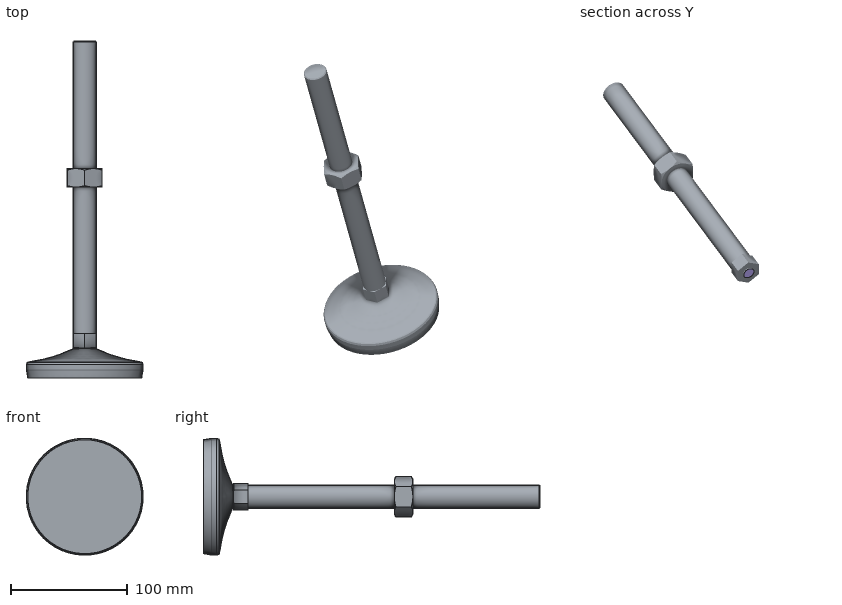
import cadquery as cq
import math

total_length = 288.5

pad_radius = 100.0 / 2
sole_radius = 48.8
taper_radius = 50.0
taper_height = 7.0
widest_height = 11.5
rim_radius = 49.3
rim_height = 13.8
rim_edge = 1.0
rim_bevel_height = 0.5
flare_mid_radius = 27.0
flare_mid_height = 18.5
neck_radius = 9.2
neck_height = 25.5

rod_diameter = 20.0
rod_chamfer = 1.0
hex_flats = rod_diameter
stud_diameter = 10.0
undercut = 0.5
hex_start = neck_height + undercut
hex_end = 38.5

nut_flats = 30.0
nut_start = 163.5
nut_thickness = 16.0
nut_face_diameter = 30.0
nut_bevel_angle = 30.0


def hexagon_bar(flats, start, length):
    """Hexagonal bar along Y, with its flats facing +X and -X."""
    corners = flats / math.cos(math.pi / 6)
    return (
        cq.Workplane("XY")
        .polygon(6, corners)
        .extrude(length)
        .rotate((0, 0, 0), (0, 0, 1), 30)
        .rotate((0, 0, 0), (1, 0, 0), -90)
        .translate((0, start, 0))
    )


def make_pad():
    """Tapered disc that sweeps up in a concave flare to the neck."""
    profile = (
        cq.Workplane("XY")
        .moveTo(0, 0)
        .lineTo(sole_radius, 0)
        .lineTo(taper_radius, taper_height)
        .lineTo(pad_radius, widest_height)
        .lineTo(rim_radius, rim_height - rim_bevel_height)
        .lineTo(rim_radius - rim_edge, rim_height)
        .threePointArc((flare_mid_radius, flare_mid_height), (neck_radius, neck_height))
        .lineTo(0, neck_height)
        .close()
    )
    return profile.revolve(360, (0, 0, 0), (0, 1, 0))


def make_stud():
    """Slim stud joining the pad to the wrench hexagon."""
    base = cq.Workplane("XZ", origin=(0, neck_height, 0))
    return base.circle(stud_diameter / 2).extrude(-undercut)


def make_rod():
    """Round rod with a chamfered free end."""
    rod_length = total_length - hex_end
    rod = cq.Workplane("XZ", origin=(0, hex_end, 0)).circle(rod_diameter / 2).extrude(-rod_length)
    return rod.faces(">Y").chamfer(rod_chamfer)


def make_nut():
    """Hexagonal nut whose corners are bevelled by a cone at both ends."""
    face_radius = nut_face_diameter / 2
    bevel_height = nut_thickness / 2
    bevel_width = bevel_height / math.tan(math.radians(nut_bevel_angle))
    nut_end = nut_start + nut_thickness
    envelope = (
        cq.Workplane("XY")
        .moveTo(0, nut_start)
        .lineTo(face_radius, nut_start)
        .lineTo(face_radius + bevel_width, nut_start + bevel_height)
        .lineTo(face_radius, nut_end)
        .lineTo(0, nut_end)
        .close()
        .revolve(360, (0, 0, 0), (0, 1, 0))
    )
    return hexagon_bar(nut_flats, nut_start, nut_thickness).intersect(envelope)


wrench_hex = hexagon_bar(hex_flats, hex_start, hex_end - hex_start)
result = make_pad().union(make_stud()).union(wrench_hex).union(make_rod()).union(make_nut())